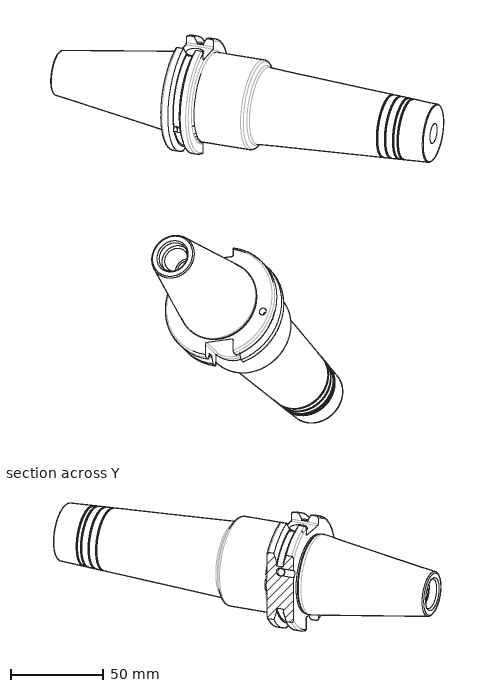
import cadquery as cq
import math

TOTAL_LENGTH = 218.2
GAUGE_X = 68.3
GAUGE_RADIUS = 44.5 / 2
TAPER_RATIO = 7 / 24
SHANK_CHAMFER = 0.7
COLLAR_LENGTH = 1.5
NECK_START = 70.5
NECK_RADIUS = 43.6 / 2

FLANGE_START = 71.4
FLANGE_END = 87.3
FLANGE_RADIUS = 63.5 / 2
FLANGE_FILLET = 1.0
GROOVE_X = 79.5
GROOVE_WIDTH = 3.7
GROOVE_MOUTH = 7.2
GROOVE_FLOOR_RADIUS = 28.0
GROOVE_HALF_ANGLE = math.radians(30)

BODY_RADIUS = 49.5 / 2
BODY_FILLET = 1.0
SHOULDER_X = 116.3
SHOULDER_BASE_X = 118.5
SHOULDER_FILLET = 1.5
NOSE_END_RADIUS = 32.0 / 2
NOSE_ANGLE = math.radians(3)
NOSE_CHAMFER = 0.5
RING_GROOVES_X = (192, 196.6, 201.2, 203.8)
RING_GROOVE_WIDTH = 0.9
RING_GROOVE_DEPTH = 0.5

SLOT_WIDTH = 16.2
SLOT_OVERRUN = 1.5
SLOT_FLOOR_FILLET = 0.9
UPPER_SLOT_FLOOR = 25.5
LOWER_SLOT_FLOOR = 22.7
DIMPLE_DIAMETER = 9.5
DIMPLE_TIP_ANGLE = 118

BORE_DIAMETER = 11
STEP_BORE_DIAMETER = 13.3
STEP_BORE_DEPTH = 21.8
COUNTERBORE_DIAMETER = 16.4
COUNTERBORE_DEPTH = 5.5
BORE_MOUTH_DIAMETER = 18.1
BORE_MOUTH_DEPTH = 1.0

CLEARANCE = 2.2

COOLANT_DIAMETER = 4.0
CROSS_HOLE_DIAMETER = 4.1
CROSS_HOLE_DEPTH = 3.3
COOLANT_RADIUS = 26.8
COOLANT_ANGLE = -70


def nose_radius(x):
    return NOSE_END_RADIUS + (TOTAL_LENGTH - x) * math.tan(NOSE_ANGLE)


def revolve_about_x(points):
    return cq.Workplane("XY").polyline(points).close().revolve(360, (0, 0, 0), (1, 0, 0))


def make_shank():
    small_radius = GAUGE_RADIUS - GAUGE_X * TAPER_RATIO / 2
    collar_end = GAUGE_X + COLLAR_LENGTH
    return revolve_about_x([
        (0, 0),
        (0, small_radius - SHANK_CHAMFER),
        (SHANK_CHAMFER, small_radius + SHANK_CHAMFER * TAPER_RATIO / 2),
        (GAUGE_X, GAUGE_RADIUS),
        (collar_end, GAUGE_RADIUS),
        (NECK_START, NECK_RADIUS),
        (FLANGE_START, NECK_RADIUS),
        (FLANGE_START, 0),
    ])


def make_flange():
    bevel_depth = (GROOVE_MOUTH - GROOVE_WIDTH) / 2 / math.tan(GROOVE_HALF_ANGLE)
    bevel_radius = FLANGE_RADIUS - bevel_depth
    flange = revolve_about_x([
        (FLANGE_START, 0),
        (FLANGE_START, FLANGE_RADIUS),
        (GROOVE_X - GROOVE_MOUTH / 2, FLANGE_RADIUS),
        (GROOVE_X - GROOVE_WIDTH / 2, bevel_radius),
        (GROOVE_X - GROOVE_WIDTH / 2, GROOVE_FLOOR_RADIUS),
        (GROOVE_X + GROOVE_WIDTH / 2, GROOVE_FLOOR_RADIUS),
        (GROOVE_X + GROOVE_WIDTH / 2, bevel_radius),
        (GROOVE_X + GROOVE_MOUTH / 2, FLANGE_RADIUS),
        (FLANGE_END, FLANGE_RADIUS),
        (FLANGE_END, 0),
    ])
    return flange.faces("<X or >X").edges().fillet(FLANGE_FILLET)


def make_body():
    nose_tip = TOTAL_LENGTH - NOSE_CHAMFER
    body = revolve_about_x([
        (FLANGE_END, 0),
        (FLANGE_END, BODY_RADIUS),
        (SHOULDER_X, BODY_RADIUS),
        (SHOULDER_BASE_X, nose_radius(SHOULDER_BASE_X)),
        (nose_tip, nose_radius(nose_tip)),
        (TOTAL_LENGTH, NOSE_END_RADIUS - NOSE_CHAMFER),
        (TOTAL_LENGTH, 0),
    ])
    reach = BODY_RADIUS + CLEARANCE
    shoulder_box = cq.selectors.BoxSelector(
        (SHOULDER_X - CLEARANCE, -reach, -reach),
        (SHOULDER_BASE_X + CLEARANCE, reach, reach),
        boundingbox=True,
    )
    body = body.edges("%CIRCLE").edges(shoulder_box).fillet(SHOULDER_FILLET)
    for x in RING_GROOVES_X:
        body = body.cut(make_ring_groove(x))
    return body


def make_ring_groove(x):
    top = nose_radius(x)
    half_width = RING_GROOVE_WIDTH / 2
    return revolve_about_x([
        (x - half_width, top + RING_GROOVE_DEPTH),
        (x - half_width, top),
        (x, top - RING_GROOVE_DEPTH),
        (x + half_width, top),
        (x + half_width, top + RING_GROOVE_DEPTH),
    ])


def make_root_fillet():
    root_x = FLANGE_END
    centre = (root_x + BODY_FILLET, BODY_RADIUS + BODY_FILLET)
    reach = BODY_FILLET * math.sqrt(0.5)
    return (
        cq.Workplane("XY")
        .moveTo(root_x, BODY_RADIUS - BODY_FILLET)
        .lineTo(root_x, centre[1])
        .threePointArc((centre[0] - reach, centre[1] - reach), (centre[0], BODY_RADIUS))
        .lineTo(centre[0], BODY_RADIUS - BODY_FILLET)
        .close()
        .revolve(360, (0, 0, 0), (1, 0, 0))
    )


def make_slot(side, floor):
    length = FLANGE_END + SLOT_OVERRUN - FLANGE_START
    height = side * (FLANGE_RADIUS + CLEARANCE - floor)
    floor_side = "<Z" if side > 0 else ">Z"
    cutter = (
        cq.Workplane("XY", origin=(FLANGE_START, 0, side * floor))
        .moveTo(0, -SLOT_WIDTH / 2)
        .lineTo(length, -SLOT_WIDTH / 2)
        .threePointArc((length + SLOT_WIDTH / 2, 0), (length, SLOT_WIDTH / 2))
        .lineTo(0, SLOT_WIDTH / 2)
        .close()
        .extrude(height)
    )
    floor_face = cutter.faces(floor_side)
    return floor_face.edges().edges("not(<X)").fillet(SLOT_FLOOR_FILLET)


def make_dimple():
    radius = DIMPLE_DIAMETER / 2
    depth = radius / math.tan(math.radians(DIMPLE_TIP_ANGLE / 2))
    cone = cq.Solid.makeCone(0, radius, depth, cq.Vector(GROOVE_X, 0, UPPER_SLOT_FLOOR - depth))
    return cq.Workplane(obj=cone)


def make_bore():
    bore_radius = BORE_DIAMETER / 2
    step_radius = STEP_BORE_DIAMETER / 2
    counterbore_radius = COUNTERBORE_DIAMETER / 2
    return revolve_about_x([
        (0, 0),
        (0, BORE_MOUTH_DIAMETER / 2),
        (BORE_MOUTH_DEPTH, counterbore_radius),
        (COUNTERBORE_DEPTH, counterbore_radius),
        (COUNTERBORE_DEPTH, step_radius),
        (STEP_BORE_DEPTH, step_radius),
        (STEP_BORE_DEPTH, bore_radius),
        (TOTAL_LENGTH, bore_radius),
        (TOTAL_LENGTH, 0),
    ])


def make_coolant_hole(angle):
    axial = (
        cq.Workplane("YZ", origin=(FLANGE_START, 0, 0))
        .center(0, COOLANT_RADIUS)
        .circle(COOLANT_DIAMETER / 2)
        .extrude(GROOVE_X - FLANGE_START)
    )
    radial = (
        cq.Workplane("XY", origin=(GROOVE_X, 0, GROOVE_FLOOR_RADIUS - CROSS_HOLE_DEPTH))
        .circle(CROSS_HOLE_DIAMETER / 2)
        .extrude(FLANGE_RADIUS - GROOVE_FLOOR_RADIUS + CROSS_HOLE_DEPTH)
    )
    return axial.union(radial).rotate((0, 0, 0), (1, 0, 0), angle)


result = make_shank().union(make_flange()).union(make_body()).union(make_root_fillet())
result = result.cut(make_slot(1, UPPER_SLOT_FLOOR)).cut(make_slot(-1, LOWER_SLOT_FLOOR))
result = result.cut(make_dimple()).cut(make_bore())
for coolant_angle in (COOLANT_ANGLE, COOLANT_ANGLE + 180):
    result = result.cut(make_coolant_hole(coolant_angle))